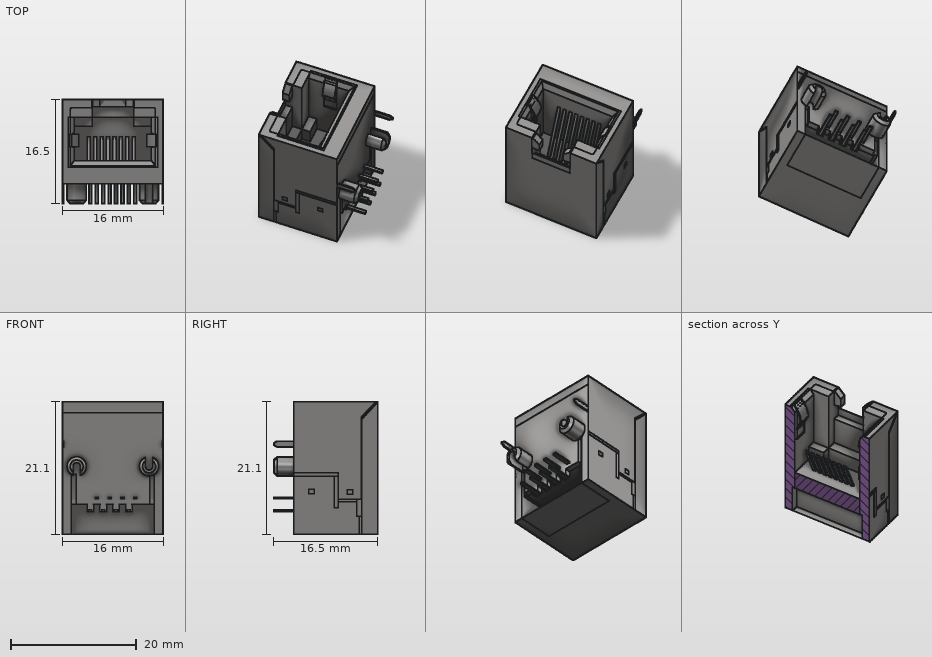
import cadquery as cq
import math

WIDTH = 16.0
DEPTH = 13.4
HEIGHT = 21.05
LEG_REACH = 3.14
SHEET = 0.02

PORT_HALF_WIDTH = 6.13
PORT_BOTTOM = 3.68
PORT_TOP = 10.57
PORT_FLOOR = 8.0
LEAD_IN_SIDE = 0.63
LEAD_IN_BOTTOM = 0.8
LEAD_IN_DEPTH = 0.78
SHOULDER_Y = 9.15
SHOULDER_Z = 10.52

CHANNEL_HALF_WIDTH = 3.3
CHANNEL_TOP = 12.23
WINDOW_SILL = 15.37
HOOK_UNDERSIDE = 18.25
HOOK_GAP_HALF_WIDTH = 2.06
HOOK_SLOPE = 1.15

FRAME_HALF_WIDTH = 7.11
FRAME_BOTTOM = 2.63
RAIL_HALF_WIDTH = 6.75
RAIL_TOP = 12.08
RAIL_CORNER_RADIUS = 0.3
SHIELD_NOTCH_HALF_WIDTH = 3.39
SHIELD_NOTCH_BOTTOM = 16.85
LIP_HEIGHT = 1.75

CORNER_SEAM = [(DEPTH, HEIGHT), (10.85, 18.27), (10.85, 5.54), (10.75, 5.54), (10.75, 18.59), (13.14, HEIGHT)]
OPEN_SEAMS = [
    ((0.0, 7.07), (9.25, 9.79)),
    ((7.07, 10.05), (5.2, 5.54)),
    ((10.45, 10.85), (0.0, 2.82)),
]
FILLED_SEAMS = [
    ((6.45, 7.07), (4.2, 9.25)),
    ((10.05, 10.85), (2.82, 5.54)),
]
CATCH_WINDOWS = [
    ((8.53, 9.39), (6.34, 7.07)),
    ((2.45, 3.3), (6.42, 7.15)),
]

LEG_THICKNESS = 0.19
LEG_CENTER_Z = 14.31
LEG_WIDTH = 0.99
LEG_TIP_WIDTH = 0.3
LEG_TAPER = 0.55

PEG_X = 5.75
PEG_Z = 10.78
PEG_RADIUS = 1.54
PEG_TIP_RADIUS = 1.03
PEG_TAPER = 0.55
PEG_SLOT_WIDTH = 1.15
PEG_SLOT_RADIUS = PEG_SLOT_WIDTH / 2

RECESS_HALF_WIDTH = 6.57
RECESS_TOP = 4.74
RECESS_DEPTH = 6.32
RELIEF_WIDTH = 0.72
RELIEF_DEPTH = 0.63
RELIEF_TOP = 9.51
WALL_THICKNESS = 0.88
TOOTH_WIDTH = 1.05
TOOTH_TIP = 3.6

PIN_COUNT = 8
PIN_ROW_SPAN = 7.14
PIN_PITCH = PIN_ROW_SPAN / (PIN_COUNT - 1)
PIN_WIDTH = 0.5
PIN_THICKNESS = 0.3
UPPER_PIN_Z = 5.77
RISER_TOP = 5.26
CONTACT_SHIFT = -0.25
CONTACT_END = 7.47
CONTACT_RISE = 8.85
CONTACT_THICKNESS = 0.3

SPRING_CENTER_Y = 6.88
SPRING_WIDTH = 2.05
SPRING_THICKNESS = 0.19
SPRING_TOP_X = 6.82
SPRING_CREST_X = 5.4
SPRING_CREST_Z = 17.9
SPRING_RETURN_DROP = 1.9
SPRING_SLOT_WIDTH = 2.23
SPRING_SLOT_X = 6.34
SPRING_SLOT_BOTTOM = 14.31
SPRING_SEAT_DEPTH = 0.55

PIN_XS = [i * PIN_PITCH - PIN_ROW_SPAN / 2 for i in range(PIN_COUNT)]
LOWER_PIN_XS = PIN_XS[0::2]
UPPER_PIN_XS = PIN_XS[1::2]


def block(xs, ys, zs):
    """Axis-aligned box between the given (low, high) limits."""
    size = [high - low for low, high in (xs, ys, zs)]
    return cq.Workplane("XY").box(*size, centered=False).translate((xs[0], ys[0], zs[0]))


def centered_block(half_width, ys, zs):
    """Box that is symmetric about x = 0."""
    return block((-half_width, half_width), ys, zs)


def with_mirror(shape):
    """The shape together with its mirror image in x."""
    return shape.union(shape.mirror("YZ"))


def lower_pin(x):
    """Pin through a tooth, bent up behind it to meet the carrier."""
    xs = (x - PIN_WIDTH / 2, x + PIN_WIDTH / 2)
    leg = block(xs, (-LEG_REACH, WALL_THICKNESS), (TOOTH_TIP, TOOTH_TIP + PIN_THICKNESS))
    riser = block(xs, (WALL_THICKNESS - PIN_THICKNESS, WALL_THICKNESS), (TOOTH_TIP, RISER_TOP))
    return leg.union(riser)


def upper_pin(x):
    xs = (x - PIN_WIDTH / 2, x + PIN_WIDTH / 2)
    zs = (UPPER_PIN_Z - PIN_THICKNESS / 2, UPPER_PIN_Z + PIN_THICKNESS / 2)
    return block(xs, (-LEG_REACH, WALL_THICKNESS), zs)


def contact(x):
    """Sloped contact strip that rises from the port floor to the bottom wall of the port."""
    thickness_rise = CONTACT_THICKNESS * CONTACT_RISE / (CONTACT_END - PORT_BOTTOM)
    contact_top = PORT_FLOOR + CONTACT_RISE
    profile = [
        (CONTACT_END, PORT_FLOOR),
        (PORT_BOTTOM, contact_top),
        (PORT_BOTTOM, contact_top - thickness_rise),
        (CONTACT_END - CONTACT_THICKNESS, PORT_FLOOR),
    ]
    strip = cq.Workplane("YZ").polyline(profile).close().extrude(PIN_WIDTH)
    return strip.translate((x - PIN_WIDTH / 2, 0, 0))


def make_insert():
    insert = centered_block(PORT_HALF_WIDTH, (WALL_THICKNESS, PORT_TOP), (RECESS_TOP, PORT_FLOOR))
    for x in LOWER_PIN_XS:
        insert = insert.union(lower_pin(x))
    for x in UPPER_PIN_XS:
        insert = insert.union(upper_pin(x))
    for x in PIN_XS:
        insert = insert.union(contact(x + CONTACT_SHIFT))
    return insert


def make_spring(side):
    """Strip that bows in from the port edge to a crest and runs straight back into its slot."""
    run = SPRING_TOP_X - SPRING_CREST_X
    drop = HEIGHT - SHEET - SPRING_CREST_Z
    radius = (run**2 + drop**2) / (2 * run)
    angle = math.asin(drop / radius)
    center_x = SPRING_CREST_X + radius

    def bow_point(bow_radius, bow_angle):
        x = center_x - bow_radius * math.cos(bow_angle)
        z = SPRING_CREST_Z + bow_radius * math.sin(bow_angle)
        return x, z

    back_radius = radius - SPRING_THICKNESS
    return_run = SPRING_SLOT_X - SPRING_CREST_X
    back_drop = SPRING_RETURN_DROP * (1 - SPRING_THICKNESS / return_run)
    strip = (
        cq.Workplane("XZ", origin=(0, SPRING_CENTER_Y, 0))
        .moveTo(*bow_point(radius, angle))
        .threePointArc(bow_point(radius, angle / 2), bow_point(radius, 0))
        .lineTo(SPRING_SLOT_X, SPRING_CREST_Z - SPRING_RETURN_DROP)
        .lineTo(SPRING_SLOT_X, SPRING_CREST_Z - back_drop)
        .lineTo(*bow_point(back_radius, 0))
        .threePointArc(bow_point(back_radius, angle / 2), bow_point(back_radius, angle))
        .close()
        .extrude(SPRING_WIDTH / 2, both=True)
    )
    return strip if side > 0 else strip.mirror("YZ")


def shield_interior():
    """Space enclosed by the shield panels, open at the mounting face."""
    return centered_block(WIDTH / 2 - SHEET, (0, DEPTH - SHEET), (SHEET, HEIGHT - SHEET))


def cut_port(housing):
    port = centered_block(PORT_HALF_WIDTH, (PORT_BOTTOM, SHOULDER_Y), (PORT_FLOOR, HEIGHT))
    shoulder = centered_block(PORT_HALF_WIDTH, (SHOULDER_Y, PORT_TOP), (SHOULDER_Z, HEIGHT))
    key = centered_block(CHANNEL_HALF_WIDTH, (SHOULDER_Y, PORT_TOP), (PORT_FLOOR, HEIGHT))
    return housing.cut(port).cut(shoulder).cut(key)


def cut_lead_in(housing):
    """Funnel along the sides and bottom of the port."""
    front = HEIGHT - SHEET
    outer_bottom = PORT_BOTTOM - LEAD_IN_BOTTOM
    funnel = (
        cq.Workplane("XY", origin=(0, 0, front - LEAD_IN_DEPTH))
        .center(0, (PORT_BOTTOM + PORT_TOP) / 2)
        .rect(2 * PORT_HALF_WIDTH, PORT_TOP - PORT_BOTTOM)
        .workplane(offset=LEAD_IN_DEPTH)
        .center(0, -LEAD_IN_BOTTOM / 2)
        .rect(2 * (PORT_HALF_WIDTH + LEAD_IN_SIDE), PORT_TOP - outer_bottom)
        .loft(ruled=True)
    )
    return housing.cut(funnel)


def cut_latch_channel(housing):
    channel = centered_block(CHANNEL_HALF_WIDTH, (PORT_TOP, CHANNEL_TOP), (SHOULDER_Z, HEIGHT))
    window = centered_block(CHANNEL_HALF_WIDTH, (CHANNEL_TOP, DEPTH), (WINDOW_SILL, HOOK_UNDERSIDE))
    slope_bottom = HEIGHT - HOOK_SLOPE
    slope_top_half = HOOK_GAP_HALF_WIDTH + HOOK_SLOPE
    gap_profile = [
        (-HOOK_GAP_HALF_WIDTH, HOOK_UNDERSIDE),
        (HOOK_GAP_HALF_WIDTH, HOOK_UNDERSIDE),
        (HOOK_GAP_HALF_WIDTH, slope_bottom),
        (slope_top_half, HEIGHT),
        (-slope_top_half, HEIGHT),
        (-HOOK_GAP_HALF_WIDTH, slope_bottom),
    ]
    gap = (
        cq.Workplane("XZ", origin=(0, DEPTH, 0))
        .polyline(gap_profile)
        .close()
        .extrude(DEPTH - CHANNEL_TOP)
    )
    return housing.cut(channel).cut(window).cut(gap)


def cut_terminal_recess(housing):
    recess = centered_block(RECESS_HALF_WIDTH, (0, RECESS_DEPTH), (0, RECESS_TOP))
    for x in LOWER_PIN_XS:
        xs = (x - TOOTH_WIDTH / 2, x + TOOTH_WIDTH / 2)
        recess = recess.cut(block(xs, (0, WALL_THICKNESS), (TOOTH_TIP, RECESS_TOP)))
    relief = block(
        (RECESS_HALF_WIDTH - RELIEF_WIDTH, RECESS_HALF_WIDTH),
        (0, RELIEF_DEPTH),
        (RECESS_TOP, RELIEF_TOP),
    )
    return housing.cut(recess).cut(with_mirror(relief))


def cut_spring_slots(housing):
    """Clearance slots beside the springs, with a seat through the lead-in for each spring top."""
    slot_half = SPRING_SLOT_WIDTH / 2
    slot = block(
        (PORT_HALF_WIDTH, SPRING_SLOT_X),
        (SPRING_CENTER_Y - slot_half, SPRING_CENTER_Y + slot_half),
        (SPRING_SLOT_BOTTOM, HEIGHT),
    )
    seat_half = SPRING_WIDTH / 2
    seat = block(
        (PORT_HALF_WIDTH, SPRING_TOP_X),
        (SPRING_CENTER_Y - seat_half, SPRING_CENTER_Y + seat_half),
        (HEIGHT - SPRING_SEAT_DEPTH, HEIGHT),
    )
    return housing.cut(with_mirror(slot)).cut(with_mirror(seat))


def peg(x, opening):
    """Split peg with a tapered tip; opening is the z direction of its slot."""
    body = (
        cq.Workplane("YZ")
        .polyline([
            (0, 0),
            (0, PEG_RADIUS),
            (-LEG_REACH + PEG_TAPER, PEG_RADIUS),
            (-LEG_REACH, PEG_TIP_RADIUS),
            (-LEG_REACH, 0),
        ])
        .close()
        .revolve(360, (0, 0, 0), (1, 0, 0))
    )
    bore = cq.Workplane("XZ").circle(PEG_SLOT_RADIUS).extrude(LEG_REACH)
    slot_zs = sorted((0, opening * PEG_RADIUS))
    slot = centered_block(PEG_SLOT_RADIUS, (-LEG_REACH, 0), slot_zs)
    return body.cut(bore).cut(slot).translate((x, 0, PEG_Z))


def add_side_pads(housing):
    """Raised pads and catches that fill openings of the shield side panels."""
    for ys, zs in FILLED_SEAMS + CATCH_WINDOWS:
        pad = block((WIDTH / 2 - SHEET, WIDTH / 2), ys, zs)
        housing = housing.union(with_mirror(pad))
    return housing


def make_housing(insert, springs):
    housing = shield_interior().cut(shield_lip())
    housing = cut_port(housing)
    housing = cut_lead_in(housing)
    housing = cut_latch_channel(housing)
    housing = cut_terminal_recess(housing)
    housing = cut_spring_slots(housing)
    housing = housing.union(peg(-PEG_X, -1)).union(peg(PEG_X, 1))
    housing = add_side_pads(housing)
    for part in [insert, *springs]:
        housing = housing.cut(part)
    return housing


def shield_lip():
    return centered_block(WIDTH / 2, (0, SHEET), (HEIGHT - LIP_HEIGHT, HEIGHT))


def cut_front_opening(shield):
    front = (HEIGHT - SHEET, HEIGHT)
    frame = centered_block(FRAME_HALF_WIDTH, (FRAME_BOTTOM, PORT_TOP), front)
    rails = centered_block(RAIL_HALF_WIDTH, (PORT_BOTTOM, RAIL_TOP), front)
    rails = rails.edges("|Z and >Y").fillet(RAIL_CORNER_RADIUS)
    notch = centered_block(SHIELD_NOTCH_HALF_WIDTH, (PORT_TOP, DEPTH), (SHIELD_NOTCH_BOTTOM, HEIGHT))
    return shield.cut(frame).cut(rails).cut(notch)


def cut_side_seams(shield):
    """Seams and catch windows through both side panels."""
    panel = (WIDTH / 2 - SHEET, WIDTH / 2)
    seam = cq.Workplane("YZ", origin=(panel[0], 0, 0)).polyline(CORNER_SEAM).close().extrude(SHEET)
    shield = shield.cut(with_mirror(seam))
    for ys, zs in OPEN_SEAMS + FILLED_SEAMS + CATCH_WINDOWS:
        shield = shield.cut(with_mirror(block(panel, ys, zs)))
    return shield


def ground_leg():
    half = LEG_WIDTH / 2
    tip_half = LEG_TIP_WIDTH / 2
    taper_start = -LEG_REACH + LEG_TAPER
    return (
        cq.Workplane("YZ", origin=(WIDTH / 2 - LEG_THICKNESS, 0, LEG_CENTER_Z))
        .polyline([
            (0, -half),
            (0, half),
            (taper_start, half),
            (-LEG_REACH, tip_half),
            (-LEG_REACH, -tip_half),
            (taper_start, -half),
        ])
        .close()
        .extrude(LEG_THICKNESS)
    )


def make_shield():
    shield = centered_block(WIDTH / 2, (0, DEPTH), (0, HEIGHT))
    shield = shield.cut(shield_interior()).union(shield_lip())
    shield = cut_front_opening(shield)
    shield = cut_side_seams(shield)
    return shield.union(with_mirror(ground_leg()))


insert = make_insert()
springs = [make_spring(side) for side in (-1, 1)]
housing = make_housing(insert, springs)
shield = make_shield()

bodies = [shield, housing, insert, *springs]
result = cq.Compound.makeCompound([body.solids().val() for body in bodies])